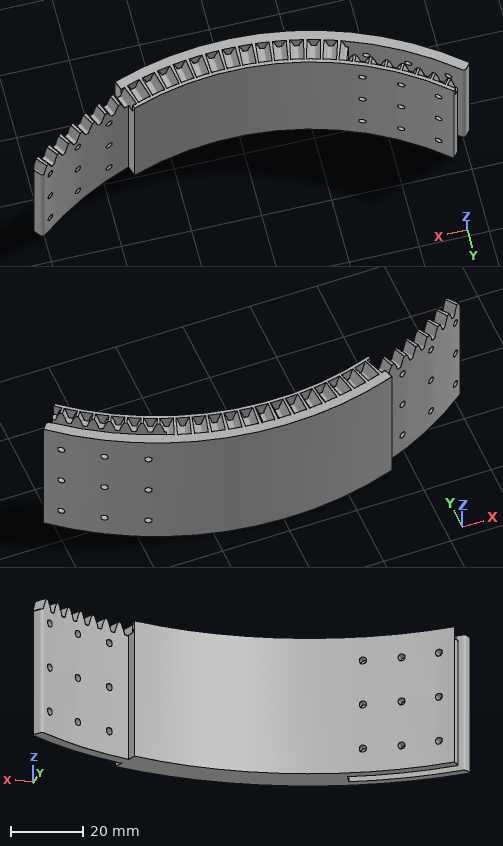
import cadquery as cq
import math


height = 40.0
outer_radius = 100.0
inner_radius = 90.0

outer_wall_thickness = 3.0
lip_thickness = 1.0
groove_outer_radius = outer_radius - outer_wall_thickness
groove_width = 4.0
groove_inner_radius = groove_outer_radius - groove_width
tongue_clearance = 0.1
tongue_outer_radius = groove_outer_radius - tongue_clearance
tongue_inner_radius = groove_inner_radius + tongue_clearance
toothed_inner_radius = inner_radius + lip_thickness

wall_start = -40.0
groove_bottom = -20.0
wall_end = 19.0
tongue_end = 39.0
end_rounding = 1.0

teeth_per_turn = 128
tooth_pitch = 360.0 / teeth_per_turn
last_tooth_angle = 37.7
first_gap_angle = last_tooth_angle + tooth_pitch / 2
gap_count = math.ceil((last_tooth_angle - wall_start) / tooth_pitch) + 1
tooth_depth = 3.5
gap_top_width = 3.8
gap_root_width = 1.3
flank_bulge = 0.15
root_fillet = 0.45

radial_margin = 1.0

hole_diameter = 2.0
hole_angles = [23.0, 30.0, 37.0]
hole_heights = [7.0, 20.0, 33.0]


def polar_point(radius, angle):
    """Plan point at a radius and an angle."""
    turn = math.radians(angle)
    return (radius * math.sin(turn), -radius * math.cos(turn))


def ring_sector(radius_in, radius_out, start, end):
    """Full-height ring sector between two radii and two angles."""
    middle = (start + end) / 2
    return (
        cq.Workplane("XY")
        .moveTo(*polar_point(radius_in, start))
        .threePointArc(polar_point(radius_in, middle), polar_point(radius_in, end))
        .lineTo(*polar_point(radius_out, end))
        .threePointArc(polar_point(radius_out, middle), polar_point(radius_out, start))
        .close()
        .extrude(height)
    )


def round_corner(body, radius, angle):
    """Round the vertical edge of a body nearest to the given radius and angle."""
    x, y = polar_point(radius, angle)
    corner = cq.selectors.NearestToPointSelector((x, y, height / 2))
    return body.edges("|Z").edges(corner).fillet(end_rounding)


def tooth_gap(angle):
    """Radial prism with bowed flanks and rounded root corners that separates two teeth."""
    half_top = gap_top_width / 2
    half_root = gap_root_width / 2
    half_middle = (half_top + half_root) / 2 - flank_bulge
    root_height = height - tooth_depth
    middle_height = height - tooth_depth / 2
    start_radius = inner_radius - radial_margin
    length = outer_radius + radial_margin - start_radius
    gap = (
        cq.Workplane("XZ", origin=(0, -start_radius, 0))
        .moveTo(-half_top, height)
        .threePointArc((-half_middle, middle_height), (-half_root, root_height))
        .lineTo(half_root, root_height)
        .threePointArc((half_middle, middle_height), (half_top, height))
        .close()
        .extrude(length)
        .edges("|Y and <Z")
        .fillet(root_fillet)
    )
    return gap.rotate((0, 0, 0), (0, 0, 1), angle)


def radial_hole(angle, level):
    """Hole drilled along a radius through the whole wall thickness."""
    return (
        cq.Workplane("XZ", origin=(0, 0, level))
        .circle(hole_diameter / 2)
        .extrude(outer_radius + radial_margin)
        .rotate((0, 0, 0), (0, 0, 1), angle)
    )


def toothed_core():
    """Inner strip and tongue, with teeth cut into their shared top edge."""
    strip = ring_sector(toothed_inner_radius, groove_inner_radius, wall_start, wall_end)
    filling = ring_sector(toothed_inner_radius, groove_outer_radius, groove_bottom, wall_end)
    tongue = ring_sector(tongue_inner_radius, tongue_outer_radius, groove_bottom, tongue_end)
    tongue = round_corner(tongue, tongue_outer_radius, tongue_end)
    tongue = round_corner(tongue, tongue_inner_radius, tongue_end)
    strip = round_corner(strip, groove_inner_radius, wall_start)
    core = strip.union(filling).union(tongue)
    for index in range(gap_count):
        core = core.cut(tooth_gap(first_gap_angle - index * tooth_pitch))
    return core


def outer_wall():
    """Outer wall rounded at the groove mouth."""
    wall = ring_sector(groove_outer_radius, outer_radius, wall_start, wall_end)
    return round_corner(wall, groove_outer_radius, wall_start)


inner_lip = ring_sector(inner_radius, toothed_inner_radius, wall_start, wall_end)
result = toothed_core().union(inner_lip).union(outer_wall())

for hole_angle in hole_angles:
    for hole_height in hole_heights:
        result = result.cut(radial_hole(hole_angle, hole_height))
        result = result.cut(radial_hole(-hole_angle, hole_height))